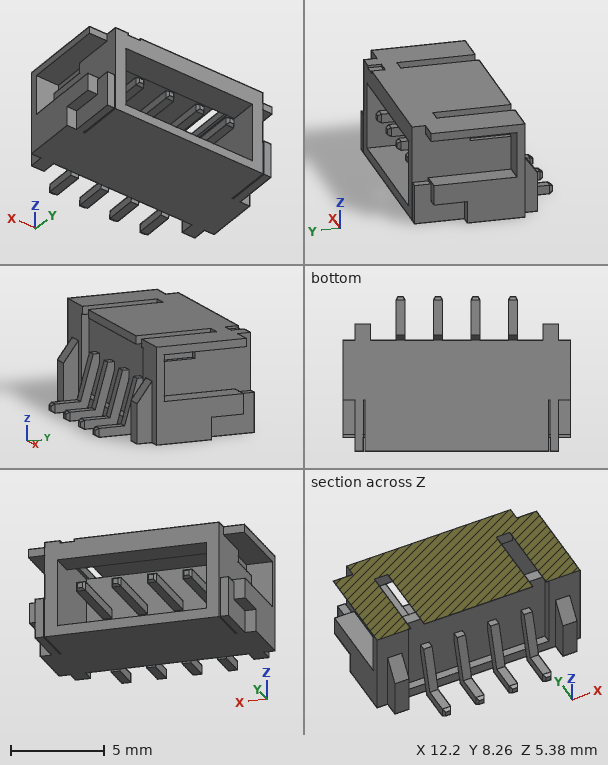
import cadquery as cq
import math


body_width = 12.15
body_depth = 5.94
body_height = 5.38
core_width = 9.81
top_thickness = 0.455
plate_underside = body_height - top_thickness

flange_rear_thickness = 0.45
flange_top_setback = 0.745
flange_lip_setback = 0.9
flange_foot_setback = 2.75
flange_lip_top = 2.36
flange_lip_bottom = 1.24

side_recess_length = 2.26
side_recess_height = 0.675
side_recess_depth = 0.3

cavity_width = 8.39
cavity_floor = 0.56
rear_recess_depth = 0.45
pin_wall_thickness = 0.6
mouth_top = 4.3

slot_inner_x = 3.25
slot_outer_x = 4.04
slot_length = 4.33
mark_length = flange_top_setback
mark_depth = 0.13

pin_count = 4
pin_pitch = 2.0
pin_size = 0.5
pin_top = 3.04
pin_lean = 16.0
pin_tip_length = 0.19
pin_tip_inset = 0.11
pin_rear_y = -2.32
pin_front_y = 5.73

tab_outer_x = 5.44
tab_plate_thickness = 0.46
tab_plate_height = 2.21
tab_ear_width = 0.845
tab_ear_depth = 0.865
tab_ear_front_height = 3.38
tab_ear_rear_height = 2.22


def box(x_range, y_range, z_range):
    """Axis-aligned block between the given (low, high) limits."""
    limits = (x_range, y_range, z_range)
    sizes = [high - low for low, high in limits]
    corner = cq.Vector(*[low for low, high in limits])
    return cq.Workplane("XY").box(*sizes, centered=False).translate(corner)


def prism_along_x(outline, x_low, x_high):
    """Closed (y, z) outline extruded from x_low to x_high."""
    return cq.Workplane("YZ", origin=(x_low, 0, 0)).polyline(outline).close().extrude(x_high - x_low)


def both_sides(shape):
    """The shape together with its mirror image across X = 0."""
    return shape.union(shape.mirror("YZ"))


def make_core():
    half = core_width / 2
    return box((-half, half), (0, body_depth), (0, body_height))


def make_flanges():
    top_front = body_depth - flange_top_setback
    lip_front = body_depth - flange_lip_setback
    foot_front = body_depth - flange_foot_setback
    outline = [
        (0, 0),
        (foot_front, 0),
        (foot_front, flange_lip_bottom),
        (lip_front, flange_lip_bottom),
        (lip_front, flange_lip_top),
        (flange_rear_thickness, flange_lip_top),
        (flange_rear_thickness, plate_underside),
        (top_front, plate_underside),
        (top_front, body_height),
        (0, body_height),
    ]
    return both_sides(prism_along_x(outline, core_width / 2, body_width / 2))


def make_side_recesses():
    wall = core_width / 2
    recess = box(
        (wall - side_recess_depth, wall),
        (flange_rear_thickness, flange_rear_thickness + side_recess_length),
        (plate_underside - side_recess_height, plate_underside),
    )
    return both_sides(recess)


def make_cavity():
    """Rear recess, main cavity and lower mouth; the pin wall stays between the first two."""
    across = (-cavity_width / 2, cavity_width / 2)
    cavity_rear = rear_recess_depth + pin_wall_thickness
    full_height = (cavity_floor, plate_underside)
    rear_recess = box(across, (0, rear_recess_depth), full_height)
    main = box(across, (cavity_rear, slot_length), full_height)
    mouth = box(across, (slot_length, body_depth), (cavity_floor, mouth_top))
    return rear_recess.union(main.union(mouth))


def make_top_slots():
    slot = box((slot_inner_x, slot_outer_x), (0, slot_length), (plate_underside, body_height))
    return both_sides(slot)


def make_pin_mark():
    return box(
        (slot_inner_x, slot_outer_x),
        (body_depth - mark_length, body_depth),
        (body_height - mark_depth, body_height),
    )


def make_pin_tip(y, z_middle, direction):
    """Tapered square end pointing along +Y (direction 1) or -Y (direction -1)."""
    plane = cq.Plane(origin=(0, y, z_middle), xDir=(1, 0, 0), normal=(0, direction, 0))
    taper = math.degrees(math.atan(pin_tip_inset / pin_tip_length))
    return cq.Workplane(plane).rect(pin_size, pin_size).extrude(pin_tip_length, taper=taper)


def make_pin():
    """Contact at X = 0: straight through the pin wall, leaning down to a flat foot."""
    miter = pin_size * math.tan(math.radians((90 - pin_lean) / 2))
    lean_run = (pin_top - pin_size) * math.tan(math.radians(pin_lean))
    upper_inside = rear_recess_depth
    upper_outside = upper_inside - miter
    foot_outside = upper_outside - lean_run
    foot_heel = foot_outside + miter
    foot_end = pin_rear_y + pin_tip_length
    contact_end = pin_front_y - pin_tip_length
    outline = [
        (foot_end, 0),
        (foot_heel, 0),
        (upper_inside, pin_top - pin_size),
        (contact_end, pin_top - pin_size),
        (contact_end, pin_top),
        (upper_outside, pin_top),
        (foot_outside, pin_size),
        (foot_end, pin_size),
    ]
    pin = prism_along_x(outline, -pin_size / 2, pin_size / 2)
    pin = pin.union(make_pin_tip(foot_end, pin_size / 2, -1))
    return pin.union(make_pin_tip(contact_end, pin_top - pin_size / 2, 1))


def make_solder_tabs():
    """Upright plate through each flange, with a sloped ear behind the housing."""
    plate = box(
        (tab_outer_x - tab_plate_thickness, tab_outer_x),
        (0, body_depth),
        (0, tab_plate_height),
    )
    ear_outline = [
        (-tab_ear_depth, 0),
        (0, 0),
        (0, tab_ear_front_height),
        (-tab_ear_depth, tab_ear_rear_height),
    ]
    ear = prism_along_x(ear_outline, tab_outer_x - tab_ear_width, tab_outer_x)
    return both_sides(plate.union(ear))


housing = make_core().union(make_flanges())
housing = housing.cut(make_side_recesses()).cut(make_cavity())
housing = housing.cut(make_top_slots()).cut(make_pin_mark())

result = housing.union(make_solder_tabs())
pin_template = make_pin()
for index in range(pin_count):
    pin_x = (index - (pin_count - 1) / 2) * pin_pitch
    result = result.union(pin_template.translate((pin_x, 0, 0)))